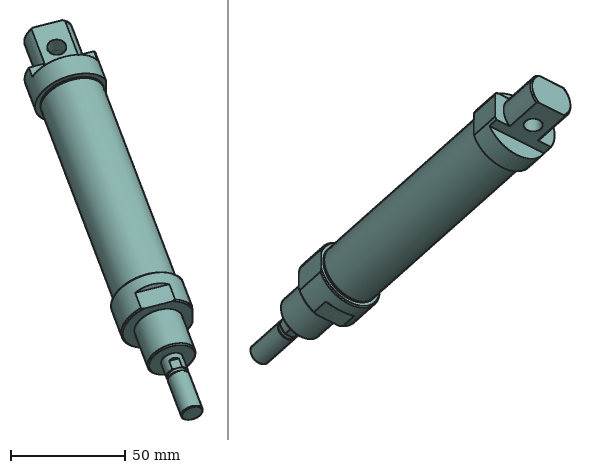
import cadquery as cq


length = 213.5
tongue_end = 20.0
shoulder = 25.2
rear_cap_face = 35.7
front_cap_face = 147.0
nose_start = 163.5
nose_end = 183.5
groove_start = 191.3
groove_end = 193.2

cap_diameter = 34.0
port_flat_y = 15.7
tube_diameter = 29.2
nose_diameter = 22.2
edge_chamfer = 0.6
lip = 0.9

tongue_thickness = 16.0
pivot_x = 13.2
pivot_diameter = 8.3

wrench_flat_width = 30.0
wrench_flat_start = 153.5
wrench_flat_run = 0.9

rod_diameter = 10.0
groove_diameter = 9.0
rod_flat_width = 9.0
rod_flat_start = 186.0
rod_flat_run = 0.6
rod_end_chamfer = 0.5


def cylinder(start, end, diameter):
    """Cylinder on the X axis between two stations."""
    return cq.Workplane("YZ", origin=(start, 0, 0)).circle(diameter / 2).extrude(end - start)


def cut_port_flat(cap, start, end):
    """Flatten the +Y side of a cap between two stations."""
    depth = cap_diameter / 2
    waste = cq.Workplane("XY").box(end - start, depth, cap_diameter, centered=(False, False, True))
    return cap.cut(waste.translate((start, port_flat_y, 0)))


def cut_wrench_flats(body, start, end, diameter, width, run):
    """Cut a flat on top and bottom of a round body, each sloping up to the surface at its rear end."""
    rim_z = diameter / 2
    flat_z = width / 2
    waste = (
        cq.Workplane("XZ")
        .moveTo(start, rim_z)
        .lineTo(start + run, flat_z)
        .lineTo(end, flat_z)
        .lineTo(end, rim_z)
        .close()
        .extrude(rim_z, both=True)
    )
    return body.cut(waste).cut(waste.mirror("XY"))


def make_rear_cap():
    tongue = cylinder(0, tongue_end, nose_diameter).faces("<X").chamfer(edge_chamfer)
    disc = cut_port_flat(cylinder(tongue_end, rear_cap_face, cap_diameter), tongue_end, rear_cap_face)
    cap = tongue.union(disc).union(cylinder(rear_cap_face, rear_cap_face + lip, tube_diameter))

    for side in (1, -1):
        waste = cq.Workplane("XY").box(shoulder, cap_diameter, cap_diameter, centered=(False, True, True))
        cap = cap.cut(waste.translate((0, 0, side * (tongue_thickness + cap_diameter) / 2)))

    hole = cq.Workplane("XY").center(pivot_x, 0).circle(pivot_diameter / 2).extrude(cap_diameter, both=True)
    return cap.cut(hole)


def make_tube():
    return cylinder(rear_cap_face + lip, front_cap_face - lip, tube_diameter)


def make_front_cap():
    collar = cylinder(front_cap_face, nose_start, cap_diameter).faces("<X or >X").chamfer(edge_chamfer)
    collar = cut_port_flat(collar, front_cap_face, nose_start)
    nose = cylinder(nose_start, nose_end, nose_diameter).faces(">X").chamfer(edge_chamfer)
    cap = collar.union(nose).union(cylinder(front_cap_face - lip, front_cap_face, tube_diameter))

    return cut_wrench_flats(
        cap, wrench_flat_start, nose_start, cap_diameter, wrench_flat_width, wrench_flat_run
    )


def make_rod():
    neck = cylinder(nose_end, groove_start, rod_diameter)
    neck = cut_wrench_flats(neck, rod_flat_start, groove_start, rod_diameter, rod_flat_width, rod_flat_run)
    groove = cylinder(groove_start, groove_end, groove_diameter)
    thread = cylinder(groove_end, length, rod_diameter).faces(">X").chamfer(rod_end_chamfer)
    return neck.union(groove).union(thread)


rear_cap = make_rear_cap()
tube = make_tube()
front_cap = make_front_cap()
rod = make_rod()

result = cq.Compound.makeCompound([rear_cap.val(), tube.val(), front_cap.val(), rod.val()])